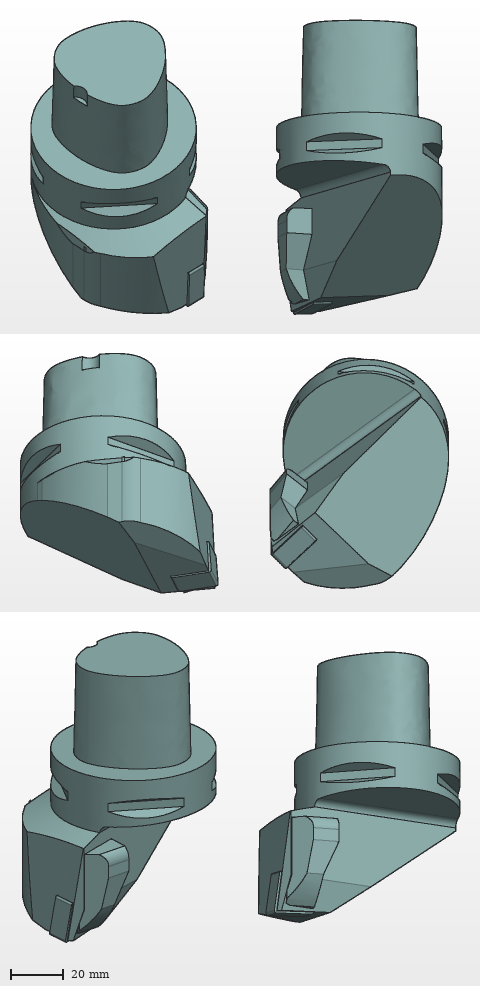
import cadquery as cq
import math


shank_height = 38.0
shank_radius = 22.1
three_lobe = 1.6
six_lobe = -0.2
shank_taper = 0.8
shank_points = 36
notch_radius = 4.3
notch_depth = 6.4
notch_axis_y = -22.0

flange_radius = 63.0 / 2
flange_height = 22.8
slot_count = 4
first_slot_angle = 45
slot_flat_distance = 27.9
slot_middle_z = -11.8
slot_floor_height = 3.4
slot_mouth_height = 7.7
back_edge_z = -17.8
back_step_z = -20.0
step_fillet = 3.1

head_face_y = 6.1
head_depth = 46.4
head_front_y = -36.5
head_limit_x = 49.4
cone_slope = 0.29
flat_chamfer_width = 1.9
flat_chamfer_height = 4.7

head_corner_x = -19.7
short_flat_end = (-17.5, -26.4)
left_arc_middle = (-4.6, -33.2)
front_flat_start_x = 10.7
front_flat_end_x = 16.3
front_round_middle = (19.9, -36.0)
front_round_end = (23.1, -34.6)
right_arc_middle = (34.5, -27.0)
right_arc_end = (45.3, -10.5)
chamfer_start_x = 0.0
chamfer_end_x = front_round_end[0]

back_slope_point = (-flange_radius, head_face_y, -23.6)
back_slope_normal = (-0.59, -0.03, -0.81)
end_face_point = (41.3, 5.2, -25.8)
end_face_normal = (1.0, -0.09, 0.085)
tip_relief_point = (21.8, 3.1, -62.5)
tip_relief_normal = (-0.09, -0.11, -1.0)
heel_relief_point = (20.0, -23.0, -60.0)
heel_relief_normal = (0.045, -0.32, -1.0)
rake_relief_point = (0, head_face_y, -51.0)
rake_relief_normal = (0, 1.0, -0.28)
corner_bevel_point = (41.8, 4.9, 0)
corner_bevel_normal = (3.0, 1.6, 0)

boss_top_z = -27.8
boss_bottom_z = -62.1
boss_start_x = 25.8
boss_end_x = 44.3
boss_turn = 14.0
boss_upper_z = -38.1
boss_lower_z = -51.0
boss_back_y = 16.0
boss_root_y = 1.9
boss_top_y = 13.6
boss_top_drop = 0.6
boss_upper_arc_middle = (15.2, -30.2)
boss_round_end_z = -33.4
boss_lower_y = 14.2
boss_lower_x = 31.4
boss_lower_arc_middle = (11.1, -56.9)
boss_bottom_y = 6.8
boss_bottom_x = 33.0
boss_bevel_point = (35.6, 13.5, 0)
boss_bevel_normal = (7.1, 5.0, 0)

tip = (45.2, 0.0, -65.1)
insert_side = 16.5
insert_thickness = 8.0
edge_tilt = 5.0
nose_angle = 80.0
nose_radius = 0.8
rake_normal = (0.097, 1.0, -0.12)

cut_size = 206.0


def half_space(point, outward):
    """Block filling the side of a plane that the outward vector points to."""
    across = cq.Vector(*outward).cross(cq.Vector(0, 0, 1))
    plane = cq.Plane(origin=point, xDir=across, normal=outward)
    return cq.Workplane(plane).rect(cut_size, cut_size).extrude(cut_size)


def shank_point(angle, inset):
    turn = angle - math.pi / 2
    support = shank_radius - inset + three_lobe * math.cos(3 * turn) + six_lobe * math.cos(6 * turn)
    slope = -3 * three_lobe * math.sin(3 * turn) - 6 * six_lobe * math.sin(6 * turn)
    x = support * math.cos(angle) - slope * math.sin(angle)
    y = support * math.sin(angle) + slope * math.cos(angle)
    return (x, y)


def shank_wire(z, inset):
    section = cq.Workplane("XY", origin=(0, 0, z))
    points = [shank_point(2 * math.pi * i / shank_points, inset) for i in range(shank_points)]
    outline = section.spline(points, periodic=True).wire()
    return outline.val()


def make_shank():
    lower = shank_wire(0, 0)
    upper = shank_wire(shank_height, shank_taper)
    shank = cq.Workplane(cq.Solid.makeLoft([lower, upper], True))
    notch = (
        cq.Workplane("XY", origin=(0, notch_axis_y, shank_height))
        .circle(notch_radius)
        .extrude(-notch_depth)
    )
    return shank.cut(notch)


def slot_cutter(angle):
    """Straight slot with a flat floor and flared upper and lower walls."""
    floor = slot_floor_height / 2
    mouth = slot_mouth_height / 2
    return (
        cq.Workplane("XZ", origin=(0, 0, slot_middle_z))
        .moveTo(slot_flat_distance, -floor)
        .lineTo(flange_radius, -mouth)
        .lineTo(flange_radius, mouth)
        .lineTo(slot_flat_distance, floor)
        .close()
        .extrude(flange_radius, both=True)
        .rotate((0, 0, 0), (0, 0, 1), angle)
    )


def make_flange():
    flange = cq.Workplane("XY").circle(flange_radius).extrude(-flange_height)
    for index in range(slot_count):
        flange = flange.cut(slot_cutter(first_slot_angle + index * 360 / slot_count))
    diagonal = step_fillet * math.sqrt(0.5)
    relief = (
        cq.Workplane("YZ")
        .moveTo(flange_radius, back_edge_z)
        .lineTo(head_face_y + step_fillet, back_step_z)
        .threePointArc(
            (head_face_y + step_fillet - diagonal, back_step_z - step_fillet + diagonal),
            (head_face_y, back_step_z - step_fillet),
        )
        .lineTo(flange_radius, back_step_z - step_fillet)
        .close()
        .extrude(flange_radius, both=True)
    )
    return flange.cut(relief)


def make_head():
    """Plan outline extruded down, then trimmed by the cone and the flat faces."""
    head = (
        cq.Workplane("XY", origin=(0, 0, -flange_height))
        .moveTo(-math.sqrt(flange_radius**2 - head_face_y**2), head_face_y)
        .threePointArc((-flange_radius, 0), (head_corner_x, -math.sqrt(flange_radius**2 - head_corner_x**2)))
        .lineTo(*short_flat_end)
        .threePointArc(left_arc_middle, (front_flat_start_x, head_front_y))
        .lineTo(front_flat_end_x, head_front_y)
        .threePointArc(front_round_middle, front_round_end)
        .threePointArc(right_arc_middle, right_arc_end)
        .lineTo(head_limit_x, 0)
        .lineTo(head_limit_x, head_face_y)
        .close()
        .extrude(-head_depth)
    )
    cone_reach = 2 * flange_radius
    cone_drop = cone_slope * (cone_reach - flange_radius)
    above_cone = (
        cq.Workplane("XZ")
        .moveTo(flange_radius, -flange_height)
        .lineTo(cone_reach, -flange_height)
        .lineTo(cone_reach, -flange_height - cone_drop)
        .close()
        .revolve(360, (0, 0, 0), (0, 1, 0))
    )
    front_chamfer = (
        cq.Workplane("YZ", origin=(chamfer_start_x, 0, 0))
        .moveTo(head_front_y, -flange_height)
        .lineTo(head_front_y, -flange_height - flat_chamfer_height)
        .lineTo(head_front_y + flat_chamfer_width, -flange_height)
        .close()
        .extrude(chamfer_end_x - chamfer_start_x)
    )
    back_slope = half_space(back_slope_point, back_slope_normal)
    end_face = half_space(end_face_point, end_face_normal)
    tip_relief = half_space(tip_relief_point, tip_relief_normal)
    heel_relief = half_space(heel_relief_point, heel_relief_normal)
    rake_relief = half_space(rake_relief_point, rake_relief_normal)
    corner_bevel = half_space(corner_bevel_point, corner_bevel_normal)
    flat_faces = (back_slope, end_face, tip_relief, heel_relief, rake_relief, corner_bevel)
    for cutter in (above_cone, front_chamfer, *flat_faces):
        head = head.cut(cutter)
    return head


def make_boss():
    """Ridge with a bevelled end, turned about its back corner to narrow toward +X."""
    section = (
        cq.Workplane("YZ", origin=(boss_start_x, 0, 0))
        .moveTo(boss_root_y, boss_top_z)
        .lineTo(boss_top_y, boss_top_z - boss_top_drop)
        .threePointArc(boss_upper_arc_middle, (boss_back_y, boss_round_end_z))
        .lineTo(boss_back_y, boss_upper_z)
        .lineTo(boss_lower_y, boss_lower_z)
        .threePointArc(boss_lower_arc_middle, (boss_bottom_y, boss_bottom_z))
        .lineTo(boss_root_y, boss_bottom_z)
        .close()
        .extrude(boss_end_x - boss_start_x)
    )
    lower_slope = (
        cq.Workplane("XZ")
        .moveTo(boss_start_x, boss_upper_z)
        .lineTo(boss_lower_x, boss_lower_z)
        .lineTo(boss_bottom_x, boss_bottom_z)
        .lineTo(boss_start_x, boss_bottom_z)
        .close()
        .extrude(-boss_back_y)
    )
    turn_axis = ((boss_start_x, boss_back_y, 0), (boss_start_x, boss_back_y, 1))
    boss = section.cut(lower_slope).rotate(*turn_axis, -boss_turn)
    back_bevel = half_space(boss_bevel_point, boss_bevel_normal)
    return boss.cut(back_bevel).cut(half_space(end_face_point, end_face_normal))


def make_insert():
    """Rhombic plate whose sharp corner is the tool tip."""
    lower_angle = math.radians(180 - edge_tilt)
    upper_angle = lower_angle - math.radians(nose_angle)
    lower = (insert_side * math.cos(lower_angle), insert_side * math.sin(lower_angle))
    upper = (insert_side * math.cos(upper_angle), insert_side * math.sin(upper_angle))
    normal = cq.Vector(*rake_normal)
    level = cq.Vector(1, 0, 0) - normal * (normal.x / normal.dot(normal))
    plane = cq.Plane(origin=tip, xDir=level, normal=normal * -1)
    return (
        cq.Workplane(plane)
        .polyline([(0, 0), upper, (upper[0] + lower[0], upper[1] + lower[1]), lower])
        .close()
        .extrude(insert_thickness)
        .edges(cq.selectors.ParallelDirSelector(normal))
        .fillet(nose_radius)
    )


insert = make_insert()
housing = make_flange().union(make_shank()).union(make_head()).union(make_boss()).cut(insert)

result = cq.Compound.makeCompound([housing.val(), insert.val()])